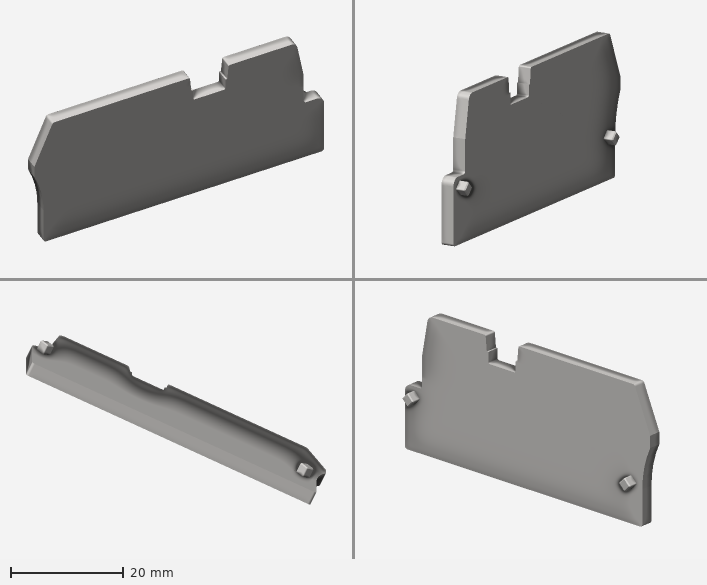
import cadquery as cq
import math

length = 58.0
height = 27.0
thickness = 2.5

shoulder_y = length - 4.05
shoulder_z = 12.6
lean_start_z = 18.95
lean_angle = 10.2
lean_top_y = shoulder_y - (height - lean_start_z) * math.tan(math.radians(lean_angle))
shoulder_radius = 1.45
lean_top_radius = 1.3
inner_corner_radius = 0.5

notch_floor_z = 21.7
notch_step_z = 23.95
notch_center_y = 35.05
notch_floor_half = 3.2
notch_ledge_half = 3.25
notch_step_half = 3.6
notch_top_half = 3.9
notch_radius = 0.3

slope_top_y = 3.7
nose_top_z = 18.15
nose_bottom_z = 15.8
foot_y = 1.85
foot_top_z = 7.35
slope_top_radius = 0.6
base_radius = 0.5

peg_length = 1.85
peg_diagonal = 2.8
peg_edge_radius = 0.25
peg_tip_chamfer = 0.205
peg_centers = [(length - 2.2, 10.45), (4.5, 8.0)]


def flank_arc_middle():
    """Point on the arc that leaves the foot vertically and meets the nose."""
    rise = nose_bottom_z - foot_top_z
    radius = (foot_y**2 + rise**2) / (2 * foot_y)
    half_angle = math.asin(rise / radius) / 2
    y = foot_y - radius * (1 - math.cos(half_angle))
    z = foot_top_z + radius * math.sin(half_angle)
    return y, z


def round_edges(body, points, radius):
    """Round the plate's X-direction edges that pass through the given (Y, Z) points."""
    for y, z in points:
        edge = cq.selectors.NearestToPointSelector((thickness / 2, y, z))
        body = body.edges("|X").edges(edge).fillet(radius)
    return body


def make_plate():
    body = (
        cq.Workplane("YZ")
        .moveTo(foot_y, 0)
        .lineTo(length, 0)
        .lineTo(length, shoulder_z)
        .lineTo(shoulder_y, shoulder_z)
        .lineTo(shoulder_y, lean_start_z)
        .lineTo(lean_top_y, height)
        .lineTo(notch_center_y + notch_top_half, height)
        .lineTo(notch_center_y + notch_step_half, notch_step_z)
        .lineTo(notch_center_y + notch_ledge_half, notch_step_z)
        .lineTo(notch_center_y + notch_floor_half, notch_floor_z)
        .lineTo(notch_center_y - notch_floor_half, notch_floor_z)
        .lineTo(notch_center_y - notch_ledge_half, notch_step_z)
        .lineTo(notch_center_y - notch_step_half, notch_step_z)
        .lineTo(notch_center_y - notch_top_half, height)
        .lineTo(slope_top_y, height)
        .lineTo(0, nose_top_z)
        .lineTo(0, nose_bottom_z)
        .threePointArc(flank_arc_middle(), (foot_y, foot_top_z))
        .close()
        .extrude(thickness)
    )
    notch_corners = [
        (notch_center_y + side * half, z)
        for side in (-1, 1)
        for half, z in ((notch_top_half, height), (notch_floor_half, notch_floor_z))
    ]
    body = round_edges(body, notch_corners, notch_radius)
    body = round_edges(body, [(foot_y, 0), (length, 0)], base_radius)
    body = round_edges(body, [(length, shoulder_z)], shoulder_radius)
    body = round_edges(body, [(shoulder_y, shoulder_z)], inner_corner_radius)
    body = round_edges(body, [(lean_top_y, height)], lean_top_radius)
    return round_edges(body, [(slope_top_y, height)], slope_top_radius)


def make_peg(y, z):
    side = peg_diagonal / math.sqrt(2)
    return (
        cq.Workplane("YZ")
        .rect(side, side)
        .extrude(-peg_length)
        .edges("|X")
        .fillet(peg_edge_radius)
        .faces("<X")
        .chamfer(peg_tip_chamfer)
        .rotate((0, 0, 0), (1, 0, 0), 45)
        .translate((0, y, z))
    )


result = make_plate()
for center_y, center_z in peg_centers:
    result = result.union(make_peg(center_y, center_z))